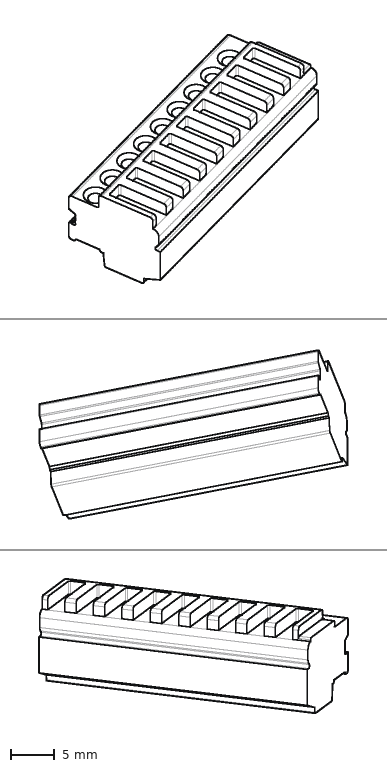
import cadquery as cq
import math

width = 12.5
length = 33.0
height = 10.6

pole_count = 9
pole_pitch = 3.5

end_step_length = 1.5
end_step_z = 9.45
end_step_right_radius = 0.2

shelf_z = 8.6
shelf_edge_radius = 0.5
block_left_x = 4.1
block_right_x = 11.5
block_edge_radius = 0.4
shelf_root_radius = 0.2

rail_x = 12.28
rail_top_z = 9.0
rail_bottom_z = 6.8
rail_top_radius = 0.75
rail_bottom_radius = 0.65
ledge_z = 5.97
notch_radius = 0.248
notch_x = rail_x - (rail_bottom_z - ledge_z)

slope_top_z = 1.68
slope_bottom_x = 10.25
slope_bottom_z = 0.8
base_left_x = 4.92
base_right_x = 10.2
base_edge_radius = 0.23
base_root_x = 4.72

foot_z = 1.98
foot_width = 0.8
foot_radius = 0.43
foot_inner_radius = 0.13
recess_z = 2.3
recess_right_x = 4.2
recess_side_run = 0.2

groove_depth = 0.92
groove_floor_z = 4.4
groove_lip_z = 4.5
groove_lip_width = 0.35
groove_lip_radius = 0.23
groove_lip_run = 0.1
groove_top_outer_z = 6.5
groove_top_inner_z = 6.07
groove_radius = 0.15

screw_x = 2.6
screw_first_y = 1.65
screw_top_radius = 1.4
screw_bottom_radius = 0.875
screw_depth = screw_top_radius - screw_bottom_radius

slot_first_y = pole_pitch / 2
slot_left_x = 5.08
slot_width = 2.1
slot_corner_radius = 0.2
slot_floor_z = rail_top_z


def section_corners(top_z, right_radius, root_radius):
    """Corners of the cross-section as (x, z, rounding radius), clockwise from the shelf edge."""
    return [
        (0, shelf_z, shelf_edge_radius),
        (block_left_x, shelf_z, root_radius),
        (block_left_x, top_z, block_edge_radius),
        (block_right_x, top_z, right_radius),
        (block_right_x, rail_top_z, 0),
        (rail_x, rail_top_z, rail_top_radius),
        (rail_x, rail_bottom_z, rail_bottom_radius),
        (notch_x, ledge_z, notch_radius),
        (width, ledge_z, 0),
        (width, slope_top_z, 0),
        (slope_bottom_x, slope_bottom_z, 0),
        (base_right_x, 0, base_edge_radius),
        (base_left_x, 0, base_edge_radius),
        (base_root_x, foot_z, 0),
        (recess_right_x + recess_side_run, foot_z, 0),
        (recess_right_x, recess_z, 0),
        (foot_width + recess_side_run, recess_z, foot_inner_radius),
        (foot_width, foot_z, foot_inner_radius),
        (0, foot_z, foot_radius),
        (0, groove_lip_z, groove_lip_radius),
        (groove_lip_width, groove_lip_z, 0),
        (groove_lip_width + groove_lip_run, groove_floor_z, 0),
        (groove_depth, groove_floor_z, groove_radius),
        (groove_depth, groove_top_inner_z, groove_radius),
        (0, groove_top_outer_z, groove_radius),
    ]


def round_corner(before, corner, after):
    """Start, middle and end points of the arc that rounds one corner."""
    x, z, radius = corner
    to_before = cq.Vector(before[0] - x, before[1] - z).normalized()
    to_after = cq.Vector(after[0] - x, after[1] - z).normalized()
    half_angle = to_before.getAngle(to_after) / 2
    point = cq.Vector(x, z)
    setback = radius / math.tan(half_angle)
    apex_gap = radius / math.sin(half_angle) - radius
    start = point + to_before * setback
    middle = point + (to_before + to_after).normalized() * apex_gap
    end = point + to_after * setback
    return [(p.x, p.y) for p in (start, middle, end)]


def extruded_section(corners, start_y, end_y):
    """Extrude a closed section along +Y; its first corner is a rounded right angle."""
    first_x, first_z, first_radius = corners[0]
    sketch = cq.Workplane("XZ", origin=(0, start_y, 0)).moveTo(first_x + first_radius, first_z)
    following = corners[1:] + corners[:1]
    for before, corner, after in zip(corners, following, following[1:] + following[:1]):
        if corner[2] == 0:
            sketch = sketch.lineTo(corner[0], corner[1])
            continue
        start, middle, end = round_corner(before, corner, after)
        sketch = sketch.lineTo(*start).threePointArc(middle, end)
    return sketch.close().extrude(start_y - end_y)


def pole_positions(x, first_y):
    return [(x, first_y + i * pole_pitch) for i in range(pole_count)]


def screw_recess():
    profile = [(0, 0), (screw_top_radius, 0), (screw_bottom_radius, -screw_depth), (0, -screw_depth)]
    cone = cq.Workplane("XZ").polyline(profile).close().revolve(360, (0, 0), (0, 1))
    return cone.translate((0, 0, shelf_z)).val()


def slot():
    slot_length = width - slot_left_x
    block = cq.Workplane("XY").box(slot_length, slot_width, height - slot_floor_z, centered=(False, True, False))
    block = block.edges("|Z and <X").fillet(slot_corner_radius)
    return block.translate((0, 0, slot_floor_z)).val()


def cutters(shape, positions):
    """Copies of a cutting shape, one at each pole."""
    return cq.Workplane("XY").pushPoints(positions).eachpoint(lambda place: shape.moved(place))


step_y = length - end_step_length
main_corners = section_corners(height, block_edge_radius, shelf_root_radius)
step_corners = section_corners(end_step_z, end_step_right_radius, 0)
body = extruded_section(main_corners, 0, step_y)
body = body.union(extruded_section(step_corners, step_y, length))

body = body.cut(cutters(screw_recess(), pole_positions(screw_x, screw_first_y)))
result = body.cut(cutters(slot(), pole_positions(slot_left_x, slot_first_y)))